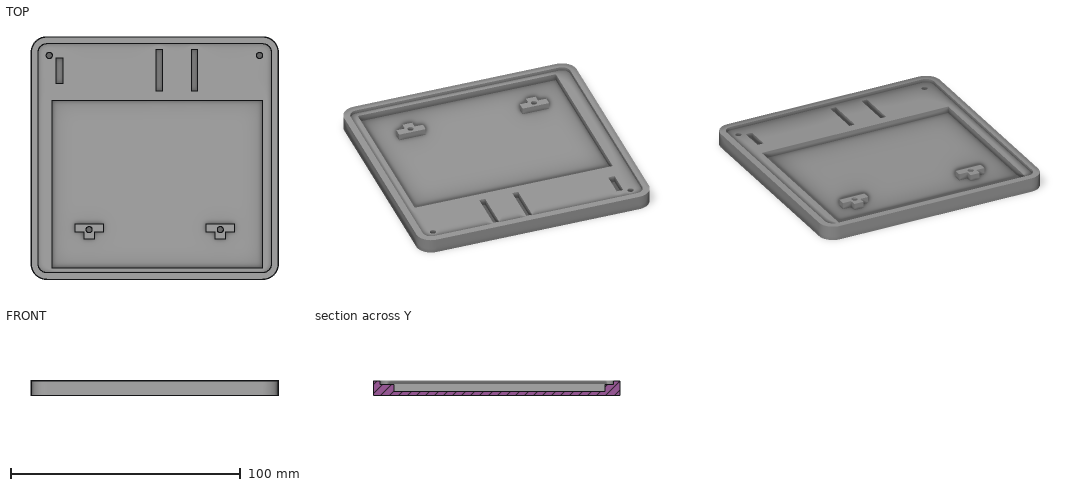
import cadquery as cq

BODY_X = 107.6
BODY_Y = 105.61
BODY_Z = 6.6
CORNER_RADIUS = 6.8
RIM_WIDTH = 3.0

LEDGE_Z = 5.0
FLOOR_Z = 1.9
BOSS_TOP_Z = 4.9

POCKET_X = 91.6
POCKET_Y = 72.8
POCKET_CENTER = (1.1, -11.3)

SHORT_SLOT_CENTER = (-41.4, 38.0)
SHORT_SLOT_WIDTH = 3.0
SHORT_SLOT_LENGTH = 11.0
LONG_SLOT_WIDTH = 2.7
LONG_SLOT_LENGTH = 18.0
LONG_SLOT_Y = 38.3
LONG_SLOT_XS = (1.95, 17.25)

HOLE_DIAMETER = 2.7
LEDGE_HOLE_XS = (-45.9, 45.6)
LEDGE_HOLE_Y = 44.7
BOSS_XS = (-28.55, 28.55)
BOSS_HOLE_Y = -31.1

BAR_LENGTH = 12.3
BAR_WIDTH = 3.5
BAR_BACK_Y = -28.6
STEM_WIDTH = 4.5
STEM_LENGTH = 3.0


def block(center_x, center_y, size_x, size_y, bottom_z, top_z):
    """Rectangular block between two Z levels."""
    return (
        cq.Workplane("XY", origin=(center_x, center_y, bottom_z))
        .rect(size_x, size_y)
        .extrude(top_z - bottom_z)
    )


def rounded_block(size_x, size_y, radius, bottom_z, top_z):
    """Block centred on the origin with rounded vertical edges."""
    return block(0, 0, size_x, size_y, bottom_z, top_z).edges("|Z").fillet(radius)


def blind_hole(center_x, center_y, top_z):
    """Screw hole cutter reaching from the given level down to the floor."""
    return (
        cq.Workplane("XY", origin=(center_x, center_y, FLOOR_Z))
        .circle(HOLE_DIAMETER / 2)
        .extrude(top_z - FLOOR_Z)
    )


def rimmed_plate():
    """Rounded plate whose top is recessed to the ledge inside a raised rim."""
    outer = rounded_block(BODY_X, BODY_Y, CORNER_RADIUS, 0, BODY_Z)
    recess = rounded_block(
        BODY_X - 2 * RIM_WIDTH,
        BODY_Y - 2 * RIM_WIDTH,
        CORNER_RADIUS - RIM_WIDTH,
        LEDGE_Z,
        BODY_Z,
    )
    return outer.cut(recess)


def boss(center_x):
    """T-shaped boss standing on the pocket floor, with its screw hole."""
    bar_front_y = BAR_BACK_Y - BAR_WIDTH
    bar = block(center_x, BAR_BACK_Y - BAR_WIDTH / 2, BAR_LENGTH, BAR_WIDTH, FLOOR_Z, BOSS_TOP_Z)
    stem = block(center_x, bar_front_y - STEM_LENGTH / 2, STEM_WIDTH, STEM_LENGTH, FLOOR_Z, BOSS_TOP_Z)
    return bar.union(stem).cut(blind_hole(center_x, BOSS_HOLE_Y, BOSS_TOP_Z))


result = rimmed_plate()

result = result.cut(block(*POCKET_CENTER, POCKET_X, POCKET_Y, FLOOR_Z, LEDGE_Z))

result = result.cut(block(*SHORT_SLOT_CENTER, SHORT_SLOT_WIDTH, SHORT_SLOT_LENGTH, FLOOR_Z, LEDGE_Z))
for slot_x in LONG_SLOT_XS:
    result = result.cut(block(slot_x, LONG_SLOT_Y, LONG_SLOT_WIDTH, LONG_SLOT_LENGTH, FLOOR_Z, LEDGE_Z))

for hole_x in LEDGE_HOLE_XS:
    result = result.cut(blind_hole(hole_x, LEDGE_HOLE_Y, LEDGE_Z))

for boss_x in BOSS_XS:
    result = result.union(boss(boss_x))